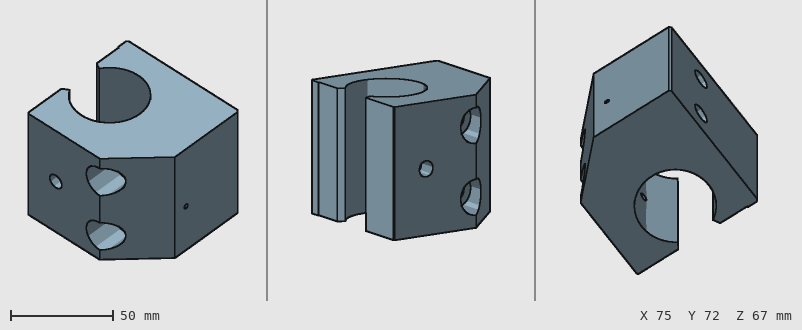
import cadquery as cq
import math

width = 75.0
depth = 72.0
height = 67.0
middle_height = height / 2

pad_step = 0.5
pad_length = 6.5

front_corner_bevel = 26.0
back_edge_chamfer = 1.0
front_edge_chamfer = 0.5

bore_radius = 20.0
bore_x = 21.0
bore_y = depth - 35.0
throat_half_width = 10.6
mouth_half_width = 12.5

screw_x = width - front_corner_bevel
screw_spacing = 36.0
screw_hole_diameter = 10.2
screw_head_diameter = 18.0
screw_head_depth = 18.0

clamp_x = 19.5
clamp_head_diameter = 8.0
clamp_head_depth = 10.0
clamp_hole_diameter = 4.1
clamp_lead_in_diameter = 5.0

cross_hole_diameter = 2.5
cross_hole_y = bore_y - 3.0
cross_hole_z = 29.0


def make_block():
    return (
        cq.Workplane("XY")
        .moveTo(pad_step + front_edge_chamfer, 0)
        .lineTo(width - front_corner_bevel, 0)
        .lineTo(width, front_corner_bevel)
        .lineTo(width, depth - back_edge_chamfer)
        .lineTo(width - back_edge_chamfer, depth)
        .lineTo(back_edge_chamfer, depth)
        .lineTo(0, depth - back_edge_chamfer)
        .lineTo(0, depth - pad_length)
        .lineTo(pad_step, depth - pad_length)
        .lineTo(pad_step, front_edge_chamfer)
        .close()
        .extrude(height)
    )


def make_rod_opening():
    throat_x = bore_x - math.sqrt(bore_radius**2 - throat_half_width**2)
    return (
        cq.Workplane("XY")
        .moveTo(pad_step, bore_y + mouth_half_width)
        .lineTo(throat_x, bore_y + throat_half_width)
        .threePointArc((bore_x + bore_radius, bore_y), (throat_x, bore_y - throat_half_width))
        .lineTo(pad_step, bore_y - mouth_half_width)
        .close()
        .extrude(height)
    )


def drill_from_front(x, z, diameter, length):
    return cq.Workplane(cq.Solid.makeCylinder(diameter / 2, length, cq.Vector(x, 0, z), cq.Vector(0, 1, 0)))


def make_screw_hole(z):
    shank = drill_from_front(screw_x, z, screw_hole_diameter, depth)
    head = drill_from_front(screw_x, z, screw_head_diameter, screw_head_depth)
    return shank.union(head)


def make_clamp_hole():
    head = drill_from_front(clamp_x, middle_height, clamp_head_diameter, clamp_head_depth)
    shank = drill_from_front(clamp_x, middle_height, clamp_hole_diameter, bore_y)
    lead_in_depth = (clamp_lead_in_diameter - clamp_hole_diameter) / 2
    lead_in = cq.Solid.makeCone(
        clamp_lead_in_diameter / 2,
        clamp_hole_diameter / 2,
        lead_in_depth,
        cq.Vector(clamp_x, clamp_head_depth, middle_height),
        cq.Vector(0, 1, 0),
    )
    return head.union(shank).union(cq.Workplane(lead_in))


def make_cross_hole():
    start = cq.Vector(bore_x, cross_hole_y, cross_hole_z)
    return cq.Workplane(
        cq.Solid.makeCylinder(cross_hole_diameter / 2, width - bore_x, start, cq.Vector(1, 0, 0))
    )


result = make_block().cut(make_rod_opening())
for side in (-1, 1):
    result = result.cut(make_screw_hole(middle_height + side * screw_spacing / 2))
result = result.cut(make_clamp_hole()).cut(make_cross_hole())